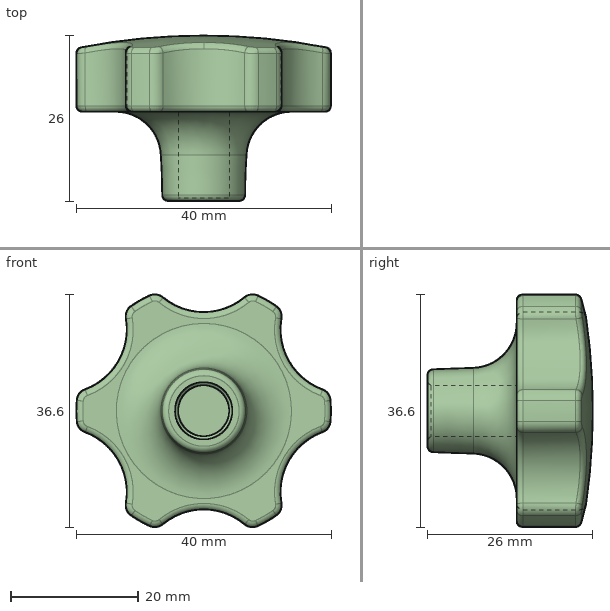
import cadquery as cq
import math


head_radius = 20.0
overall_height = 26.0
head_base = 14.0
crown_rise = 2.0
lobe_count = 6
scallop_radius = 10.0
scallop_floor = 15.5
lobe_corner_radius = 2.0
edge_fillet = 1.0

hub_end_radius = 6.5
hub_draft = 2.0
cove_radius = 7.0

bore_radius = 4.0
bore_depth = 14.0
bore_chamfer = 0.5


def revolve_about_axis(profile):
    """Turn a closed YZ half-profile (local x = Y, local y = Z) about the knob axis."""
    return profile.close().revolve(360, (0, 0, 0), (1, 0, 0))


def make_head():
    """Domed disc with scallops around its rim and every edge rounded."""
    rim_top = overall_height - crown_rise
    dome_radius = (head_radius**2 + crown_rise**2) / (2 * crown_rise)
    mid_radius = head_radius / 2
    mid_height = overall_height - dome_radius + math.sqrt(dome_radius**2 - mid_radius**2)
    disc = revolve_about_axis(
        cq.Workplane("YZ")
        .moveTo(head_base, 0)
        .lineTo(head_base, head_radius)
        .lineTo(rim_top, head_radius)
        .threePointArc((mid_height, mid_radius), (overall_height, 0))
    )

    pitch = 360 / lobe_count
    scallops = (
        cq.Workplane("XZ")
        .polarArray(scallop_floor + scallop_radius, pitch / 2, 360, lobe_count)
        .circle(scallop_radius)
        .extrude(-overall_height)
    )
    star = disc.cut(scallops).edges("|Y").fillet(lobe_corner_radius)
    return star.faces("<Y").edges().fillet(edge_fillet).faces(">Y").edges().fillet(edge_fillet)


def make_hub():
    """Tapered hub that widens through a tangent cove into the underside of the head."""
    draft = math.radians(hub_draft)
    cove_start = head_base - cove_radius * (1 - math.sin(draft))
    hub_top_radius = hub_end_radius + cove_start * math.tan(draft)
    cove_center_radius = hub_top_radius + cove_radius * math.cos(draft)
    cove_center_height = head_base - cove_radius
    mid_angle = (draft + math.pi / 2) / 2
    cove_mid = (
        cove_center_height + cove_radius * math.sin(mid_angle),
        cove_center_radius - cove_radius * math.cos(mid_angle),
    )
    root_height = head_base + edge_fillet
    hub = revolve_about_axis(
        cq.Workplane("YZ")
        .lineTo(0, hub_end_radius)
        .lineTo(cove_start, hub_top_radius)
        .threePointArc(cove_mid, (head_base, cove_center_radius))
        .lineTo(root_height, cove_center_radius)
        .lineTo(root_height, 0)
    )
    return hub.faces("<Y").edges().fillet(edge_fillet)


def make_bore():
    """Blind bore with a chamfered mouth."""
    return revolve_about_axis(
        cq.Workplane("YZ")
        .lineTo(0, bore_radius + bore_chamfer)
        .lineTo(bore_chamfer, bore_radius)
        .lineTo(bore_depth, bore_radius)
        .lineTo(bore_depth, 0)
    )


result = make_head().union(make_hub()).cut(make_bore())